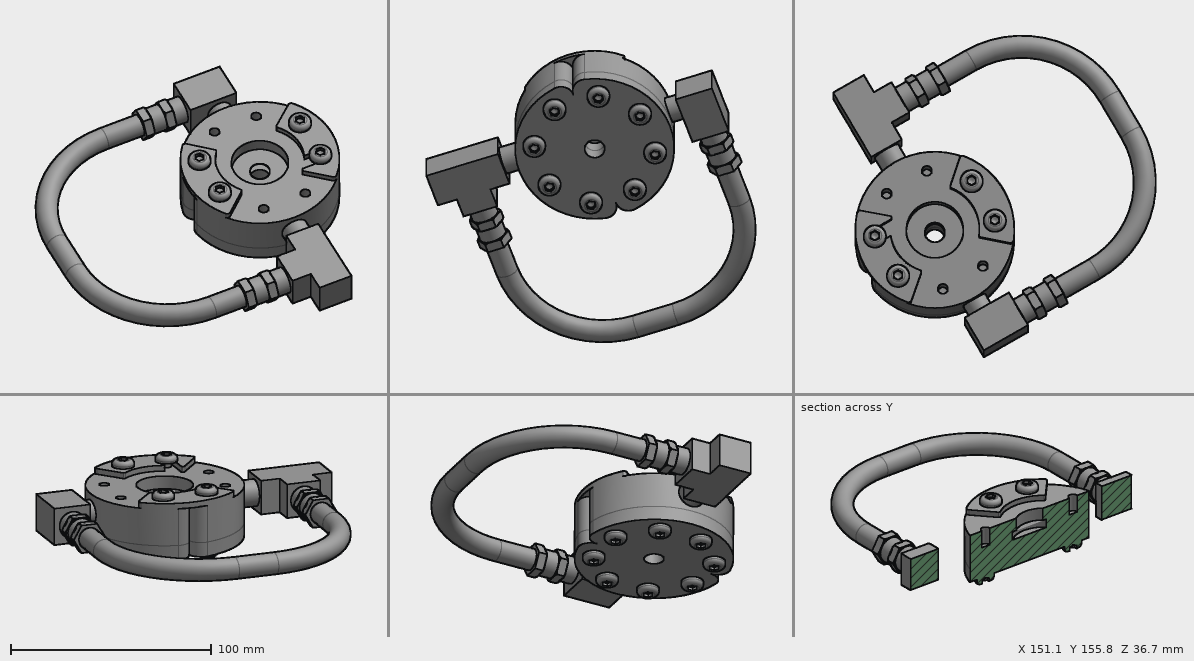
import cadquery as cq
import math


DISC_R = 39.7
BODY_TOP = 9.7
COVER_TOP = -9.3
BODY_BOTTOM = -17.0
BORE_DIA = 28.5
BORE_DEPTH = 6.7
MEMBRANE = 0.5
CAVITY_DIA = 31.5
CAVITY_HEIGHT = 4.4
THROUGH_DIA = 10.0
SLIT_ROUND = 6.5

BOLT_R = 30.2
BOLT_COUNT = 8
BOLT_STEP = 360 / BOLT_COUNT
PIN_POSITIONS = (0, 3, 4, 7)
PLATE_SCREW_POSITIONS = (1, 2, 5, 6)
SLOT_POSITION = 1
PIN_HOLE_DIA = 5.0
PIN_HOLE_DEPTH = 9.3

PLATE_THICK = 3.0
PLATE_TOP = BODY_TOP + PLATE_THICK
PLATE_INNER_R = 22.3
PLATE_RIM_ROUND = 1.5
PLATE_TIP_ROUND = 0.8
PLATE_TIP_MIN_X = 12.5
SLOT_WIDTH = 7.2

HEAD_DIA = 11.2
HEAD_HEIGHT = 3.5
HEAD_FLAT_DIA = 6.7
HEAD_ROUND = (HEAD_DIA - HEAD_FLAT_DIA) / 2
SHANK_DIA = 5.0
SOCKET_DIA = 5.0
SOCKET_DEPTH = 1.7
SOCKET_POINT = 1.0

LEFT_X = -55.6
RIGHT_X = 67.0
STEM_DIA = 13.7
HOSE_DIA = 11.2
HOSE_BEND_R = 50.8
HOSE_BOTTOM = DISC_R - 155.8
NUT_FLATS = 14.5
NUT_LENGTH = 4.8
NUT_PITCH = 12.0
NUT_BEVEL = 0.6

PORT_OVERLAP = 1.5

ELBOW_WIDTH = 19.2
ELBOW_BACK = 9.5
ELBOW_FRONT = -16.0
ELBOW_PORT_DIA = 12.8
ELBOW_NUT_GAP = 6.9

TEE_WIDTH = 17.8
TEE_LENGTH = 37.9
TEE_FRONT = -19.0
TEE_NUT_GAP = 7.2


def disc(z_low, z_high, diameter):
    """Solid cylinder on the disc axis."""
    return cq.Workplane("XY").workplane(offset=z_low).circle(diameter / 2).extrude(z_high - z_low)


def rod_y(x, y_from, y_to, diameter):
    """Round rod along Y at hose height, running from y_from towards -Y."""
    return cq.Workplane("XZ", origin=(x, y_from, 0)).circle(diameter / 2).extrude(y_from - y_to)


def rod_x(x_from, x_to, diameter):
    """Round rod along X at hose height."""
    return cq.Workplane("YZ", origin=(x_from, 0, 0)).circle(diameter / 2).extrude(x_to - x_from)


def block(x_from, x_to, y_from, y_to, height):
    """Rectangular block centred on hose height."""
    size = (x_to - x_from, y_to - y_from, height)
    middle = ((x_from + x_to) / 2, (y_from + y_to) / 2, 0)
    return cq.Workplane("XY").box(*size).translate(middle)


def bolt_point(index):
    """Position on the bolt circle; index 0 lies half a step from +X."""
    angle = math.radians(BOLT_STEP * (index + 0.5))
    return (BOLT_R * math.cos(angle), BOLT_R * math.sin(angle))


def slit_cutter():
    """Cusp at -Y: two rounds tangent to each other and to the disc rim."""
    reach = DISC_R - SLIT_ROUND
    centre_y = -math.sqrt(reach**2 - SLIT_ROUND**2)
    rim_x = SLIT_ROUND * DISC_R / reach
    rim_y = centre_y * DISC_R / reach
    turn = math.asin(-(rim_y - centre_y) / SLIT_ROUND) / 2
    mid_x = SLIT_ROUND * (1 - math.cos(turn))
    mid_y = centre_y - SLIT_ROUND * math.sin(turn)
    outside_y = -DISC_R - 1.5
    return (
        cq.Workplane("XY")
        .workplane(offset=BODY_BOTTOM)
        .moveTo(-rim_x, outside_y)
        .lineTo(-rim_x, rim_y)
        .threePointArc((-mid_x, mid_y), (0, centre_y))
        .threePointArc((mid_x, mid_y), (rim_x, rim_y))
        .lineTo(rim_x, outside_y)
        .close()
        .extrude(BODY_TOP - BODY_BOTTOM)
    )


def cut_slits(slice_of_disc):
    slit = slit_cutter()
    return slice_of_disc.cut(slit).cut(slit.mirror("XZ"))


def make_cover():
    cover = cut_slits(disc(BODY_BOTTOM, COVER_TOP, 2 * DISC_R))
    return cover.cut(disc(BODY_BOTTOM, COVER_TOP, THROUGH_DIA))


def make_body():
    """Upper body; the clamp plates are what remains of its top layer."""
    bore_floor = BODY_TOP - BORE_DEPTH
    cavity_top = bore_floor - MEMBRANE
    top_layer = disc(BODY_TOP, PLATE_TOP, 2 * DISC_R)
    body = disc(COVER_TOP, PLATE_TOP, 2 * DISC_R).cut(top_layer.cut(make_plates()))
    body = cut_slits(body)
    body = body.cut(disc(COVER_TOP, BODY_TOP, THROUGH_DIA))
    body = body.cut(disc(bore_floor, BODY_TOP, BORE_DIA))
    body = body.cut(disc(cavity_top - CAVITY_HEIGHT, cavity_top, CAVITY_DIA))
    pins = [bolt_point(i) for i in PIN_POSITIONS]
    holes = cq.Workplane("XY").workplane(offset=BODY_TOP).pushPoints(pins)
    return body.cut(holes.circle(PIN_HOLE_DIA / 2).extrude(-PIN_HOLE_DEPTH))


def clamp_plate(start_inner, start_rim, end_rim, end_inner):
    """Sharp ring sector; the angles in degrees place its four corners."""
    def at(radius, angle):
        turn = math.radians(angle)
        return (radius * math.cos(turn), radius * math.sin(turn))

    middle = (start_rim + end_rim) / 2
    return (
        cq.Workplane("XY")
        .workplane(offset=BODY_TOP)
        .moveTo(*at(PLATE_INNER_R, start_inner))
        .lineTo(*at(DISC_R, start_rim))
        .threePointArc(at(DISC_R, middle), at(DISC_R, end_rim))
        .lineTo(*at(PLATE_INNER_R, end_inner))
        .threePointArc(at(PLATE_INNER_R, middle), at(PLATE_INNER_R, start_inner))
        .close()
        .extrude(PLATE_THICK)
    )


def round_plate(plate):
    """Round the rim corners and the inner tips of a clamp plate."""
    middle_r = (PLATE_INNER_R + DISC_R) / 2

    def is_rim(edge):
        return math.hypot(edge.Center().x, edge.Center().y) > DISC_R - PLATE_RIM_ROUND

    def is_tip(edge):
        inner = math.hypot(edge.Center().x, edge.Center().y) < middle_r
        return inner and abs(edge.Center().x) > PLATE_TIP_MIN_X

    plate = plate.edges("|Z").filter(is_rim).fillet(PLATE_RIM_ROUND)
    return plate.edges("|Z").filter(is_tip).fillet(PLATE_TIP_ROUND)


def make_plates():
    front = clamp_plate(229.5, 229, 311, 310.5)
    back = clamp_plate(43.5, 46, 132, 133)
    slot_x, slot_y = bolt_point(SLOT_POSITION)
    slot_end = disc(BODY_TOP, PLATE_TOP, SLOT_WIDTH).translate((slot_x, slot_y, 0))
    slot = block(slot_x - SLOT_WIDTH / 2, slot_x + SLOT_WIDTH / 2, 0, slot_y, 2 * PLATE_TOP)
    back = back.cut(slot).cut(slot_end)
    return round_plate(front).union(round_plate(back))


def screw_head():
    """Button head sitting on Z = 0 with a pointed hexagon socket."""
    head = cq.Workplane("XY").circle(HEAD_DIA / 2).extrude(HEAD_HEIGHT)
    head = head.faces(">Z").edges().fillet(HEAD_ROUND)
    top = cq.Workplane("XY").workplane(offset=HEAD_HEIGHT)
    top = top.transformed(rotate=(0, 0, 90))
    socket = top.polygon(6, SOCKET_DIA).extrude(-SOCKET_DEPTH)
    point = cq.Solid.makeCone(
        SOCKET_DIA * math.cos(math.pi / 6) / 2,
        0,
        SOCKET_POINT,
        pnt=(0, 0, HEAD_HEIGHT - SOCKET_DEPTH),
        dir=(0, 0, -1),
    )
    return head.cut(socket).cut(cq.Workplane(point))


def make_screws():
    head = screw_head()
    flipped = head.mirror("XY")
    screws = cq.Workplane("XY")
    for index in range(BOLT_COUNT):
        x, y = bolt_point(index)
        screws = screws.add(flipped.translate((x, y, BODY_BOTTOM)))
        if index in PLATE_SCREW_POSITIONS:
            screws = screws.add(head.translate((x, y, PLATE_TOP)))
            shank = disc(BODY_TOP, PLATE_TOP, SHANK_DIA)
            screws = screws.add(shank.translate((x, y, 0)))
    return screws.combine()


def hex_nut(x, y, bevelled_ends):
    """Nut along -Y from y, corners pointing along X; the selector names the ends to bevel."""
    corner_r = NUT_FLATS / math.sqrt(3)
    plane = cq.Workplane("XZ", origin=(x, y, 0))
    envelope = plane.circle(corner_r).extrude(NUT_LENGTH).faces(bevelled_ends).edges().chamfer(NUT_BEVEL)
    return plane.polygon(6, 2 * corner_r).extrude(NUT_LENGTH).intersect(envelope)


def stem_with_nuts(x, y, nut_gap):
    first = y - nut_gap
    second = first - NUT_PITCH
    stem = rod_y(x, y, second, STEM_DIA)
    return stem.union(hex_nut(x, first, "|Y")).union(hex_nut(x, second, ">Y"))


def make_elbow():
    inner_x = LEFT_X + ELBOW_WIDTH / 2
    elbow = block(LEFT_X - ELBOW_WIDTH / 2, inner_x, ELBOW_FRONT, ELBOW_BACK, ELBOW_WIDTH)
    port = rod_x(inner_x, PORT_OVERLAP - DISC_R, ELBOW_PORT_DIA)
    return elbow.union(port).union(stem_with_nuts(LEFT_X, ELBOW_FRONT, ELBOW_NUT_GAP))


def make_tee():
    half = TEE_WIDTH / 2
    inner_x = RIGHT_X - TEE_LENGTH / 2
    tee = block(inner_x, inner_x + TEE_LENGTH, -half, half, TEE_WIDTH)
    tee = tee.union(block(RIGHT_X - half, RIGHT_X + half, TEE_FRONT, 0, TEE_WIDTH))
    port = rod_x(DISC_R - PORT_OVERLAP, inner_x, STEM_DIA)
    return tee.union(port).union(stem_with_nuts(RIGHT_X, TEE_FRONT, TEE_NUT_GAP))


def make_hose():
    axis_y = HOSE_BOTTOM + HOSE_DIA / 2
    bend_y = axis_y + HOSE_BEND_R
    left_end = ELBOW_FRONT - ELBOW_NUT_GAP - NUT_PITCH
    right_end = TEE_FRONT - TEE_NUT_GAP - NUT_PITCH
    inset = HOSE_BEND_R * (1 - math.sqrt(0.5))
    path = (
        cq.Workplane("XY")
        .moveTo(LEFT_X, left_end)
        .lineTo(LEFT_X, bend_y)
        .threePointArc((LEFT_X + inset, axis_y + inset), (LEFT_X + HOSE_BEND_R, axis_y))
        .lineTo(RIGHT_X - HOSE_BEND_R, axis_y)
        .threePointArc((RIGHT_X - inset, axis_y + inset), (RIGHT_X, bend_y))
        .lineTo(RIGHT_X, right_end)
    )
    start = cq.Workplane("XZ", origin=(LEFT_X, left_end, 0))
    return start.circle(HOSE_DIA / 2).sweep(path)


result = make_body()
for piece in (make_cover(), make_screws(), make_elbow(), make_tee(), make_hose()):
    result = result.union(piece, clean=False)